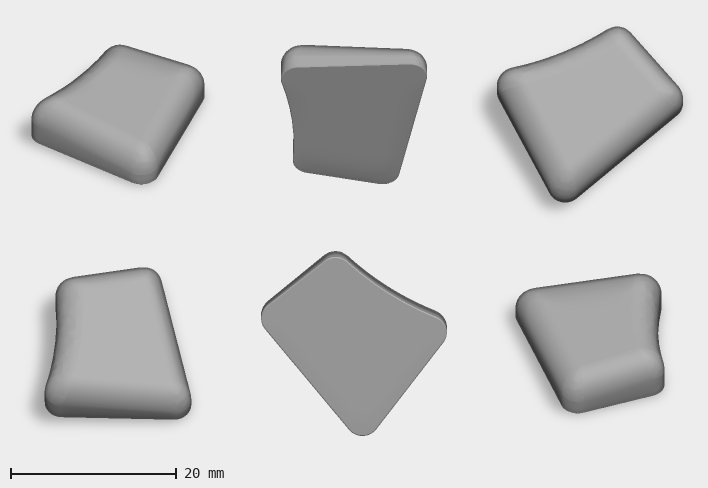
import cadquery as cq
import math

width = 17.3
depth = 20.32
prism_height = 10.15

corner_radius = 2.103
top_radius = 2.95
base_chamfer = 0.12

front_slope = 0.252
front_left_x = -1.14
left_middle = (2.45, 11.32)
back_left_x = 4.43

top_fall = 0.1
level_heading = math.atan2(56.0, 18.0)
level_point = (3.65, 5.9, 5.6)


def front_edge_y(x):
    """Y of the slanted front edge, placed so its rounded right corner touches y = 0."""
    center_x = width - corner_radius
    offset = corner_radius * math.hypot(1, front_slope)
    return corner_radius - offset - front_slope * (x - center_x)


def block():
    """Prism with sharp corners, cut off by the sloping top plane."""
    front_left = (front_left_x, front_edge_y(front_left_x))
    prism = (
        cq.Workplane("XY")
        .moveTo(*front_left)
        .lineTo(width, front_edge_y(width))
        .lineTo(width, depth)
        .lineTo(back_left_x, depth)
        .threePointArc(left_middle, front_left)
        .close()
        .extrude(prism_height)
    )
    normal = (
        top_fall * math.sin(level_heading),
        -top_fall * math.cos(level_heading),
        1,
    )
    cutter_size = 4 * depth
    plane = cq.Plane(origin=level_point, normal=normal)
    cutter = cq.Workplane(plane).rect(cutter_size, cutter_size).extrude(cutter_size)
    return prism.cut(cutter)


body = block().edges("|Z").fillet(corner_radius)
body = body.faces(">Z").edges().fillet(top_radius)
result = body.faces("<Z").edges().chamfer(base_chamfer)